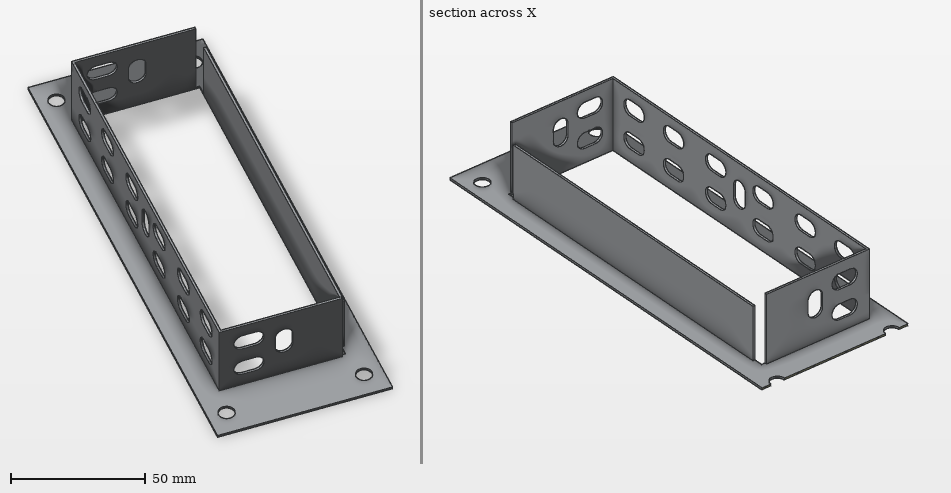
import cadquery as cq

flange_length = 195.0
flange_width = 70.0
sheet = 1.0
window_length = 150.0
window_width = 50.0

screw_diameter = 6.5
screw_pitch_x = 175.0
screw_pitch_y = 55.0

total_height = 32.0
back_height = 25.2
back_length = 142.2
side_end_y = 23.4
box_length = window_length + 2 * sheet
box_width = window_width + 2 * sheet

slot_length = 12.0
slot_width = 7.0
upright_slot_z = 18.1
slot_offsets_x = (14.0, 39.0, 62.4)
front_slot_heights = (9.4, 24.0)
side_slot_y = -14.0
side_slot_heights = (10.0, 23.4)


def flange():
    """Flat sheet with its window and four corner holes."""
    return (
        cq.Workplane("XY")
        .rect(flange_length, flange_width)
        .rect(window_length, window_width)
        .extrude(sheet)
        .faces(">Z")
        .workplane()
        .rect(screw_pitch_x, screw_pitch_y, forConstruction=True)
        .vertices()
        .hole(screw_diameter)
    )


def wall(x_range, y_range, height):
    """Upright plate rising from the underside of the flange."""
    x_min, x_max = x_range
    y_min, y_max = y_range
    plate = cq.Workplane("XY").box(x_max - x_min, y_max - y_min, height, centered=False)
    return plate.translate((x_min, y_min, 0))


def slots(plane, centers, angle, reach):
    """Obround cutters through the part, extending by reach to both sides of the plane."""
    return (
        cq.Workplane(plane)
        .pushPoints(centers)
        .slot2D(slot_length, slot_width, angle)
        .extrude(reach, both=True)
    )


def front_slots():
    """Two rows of level slots and one upright slot in the front wall only."""
    level_centers = [
        (side * offset, height)
        for side in (-1, 1)
        for offset in slot_offsets_x
        for height in front_slot_heights
    ]
    cutters = slots("XZ", level_centers, 0, sheet)
    cutters = cutters.union(slots("XZ", [(0, upright_slot_z)], 90, sheet))
    return cutters.translate((0, -box_width / 2, 0))


def side_slots():
    """Two level slots and one upright slot through both side walls."""
    level_centers = [(side_slot_y, height) for height in side_slot_heights]
    cutters = slots("YZ", level_centers, 0, box_length)
    return cutters.union(slots("YZ", [(0, upright_slot_z)], 90, box_length))


front_wall = wall(
    (-box_length / 2, box_length / 2),
    (-box_width / 2, -window_width / 2),
    total_height,
)
back_wall = wall(
    (-back_length / 2, back_length / 2),
    (window_width / 2, box_width / 2),
    back_height,
)
left_wall = wall(
    (-box_length / 2, -window_length / 2),
    (-box_width / 2, side_end_y),
    total_height,
)
right_wall = left_wall.mirror("YZ")

result = flange().union(front_wall).union(back_wall).union(left_wall).union(right_wall)
result = result.cut(front_slots()).cut(side_slots())